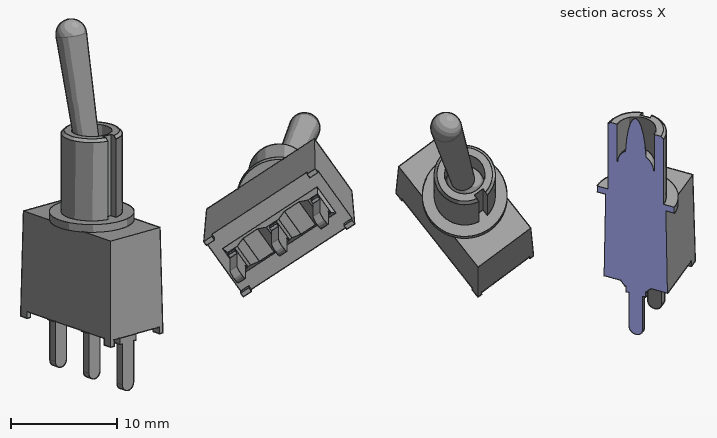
import cadquery as cq
import math

housing_length, housing_width = 12.7, 6.6
housing_height = 10.42
draft_inset_x, draft_inset_y = 0.2, 0.17
foot_height = 0.65
foot_gap_x, foot_gap_y = 10.85, 5.7

washer_diameter, washer_thickness = 8.0, 0.75
bushing_diameter, bushing_top = 5.75, 19.2
bushing_chamfer = 0.28
bore_diameter = 3.8
keyway_width, keyway_floor_radius = 1.0, 2.15

overall_height = 34.75
pin_bottom = -5.28
lever_top = overall_height + pin_bottom
pivot_height = 14.7
lever_root_radius, lever_tip_radius = 1.08, 1.45
tip_offset = 2.9
tip_rise = lever_top - lever_tip_radius - pivot_height
lever_length = math.hypot(tip_offset, tip_rise)
lever_tilt = math.degrees(math.atan2(tip_offset, tip_rise))

pin_pitch, pin_thickness, pin_width = 4.72, 0.8, 1.42
shoulder_width, shoulder_bottom = 2.05, -0.52
resin_length = 10.77
resin_base_width, resin_tip_width = 3.13, 2.22
resin_peak_width, resin_mound_width = 1.4, 3.05
resin_bottom = 0.1
resin_thinnest = 0.25
pin_positions = [-pin_pitch, 0.0, pin_pitch]


def make_housing():
    top_length = housing_length - 2 * draft_inset_x
    top_width = housing_width - 2 * draft_inset_y
    body = (
        cq.Workplane("XY")
        .rect(housing_length, housing_width)
        .workplane(offset=housing_height)
        .rect(top_length, top_width)
        .loft(ruled=True)
    )
    grounded = (True, True, False)
    gap_x = cq.Workplane("XY").box(foot_gap_x, housing_width, foot_height, centered=grounded)
    gap_y = cq.Workplane("XY").box(housing_length, foot_gap_y, foot_height, centered=grounded)
    return body.cut(gap_x).cut(gap_y)


def make_bushing():
    """Washer and sleeve with a bore down to the pivot and a keyway on the +X side."""
    washer = cq.Workplane("XY", origin=(0, 0, housing_height)).circle(washer_diameter / 2)
    washer = washer.extrude(washer_thickness)
    washer_top = housing_height + washer_thickness
    sleeve_height = bushing_top - washer_top
    sleeve = (
        cq.Workplane("XY", origin=(0, 0, washer_top))
        .circle(bushing_diameter / 2)
        .extrude(sleeve_height)
        .faces(">Z")
        .chamfer(bushing_chamfer)
    )
    keyway = cq.Workplane("XY", origin=(keyway_floor_radius, 0, washer_top)).box(
        bushing_diameter, keyway_width, sleeve_height, centered=(False, True, False)
    )
    bore = cq.Workplane("XY", origin=(0, 0, pivot_height)).circle(bore_diameter / 2)
    bore = bore.extrude(bushing_top - pivot_height)
    return washer.union(sleeve.cut(keyway).cut(bore))


def make_lever():
    """Revolved tapered handle with a domed tip, tilted about the pivot, plus its ball."""
    dome_side = lever_tip_radius * math.sqrt(0.5)
    handle = (
        cq.Workplane("XZ")
        .lineTo(lever_root_radius, 0)
        .lineTo(lever_tip_radius, lever_length)
        .threePointArc((dome_side, lever_length + dome_side), (0, lever_length + lever_tip_radius))
        .close()
        .revolve(360, (0, 0), (0, 1))
        .rotate((0, 0, 0), (0, 1, 0), -lever_tilt)
    )
    ball = cq.Workplane("XY").sphere(bore_diameter / 2)
    return handle.union(ball).translate((0, 0, pivot_height))


def make_pin(x):
    """Flat terminal with a full-round tip and a wider shoulder."""
    tip_radius = pin_width / 2
    return (
        cq.Workplane("YZ", origin=(x - pin_thickness / 2, 0, 0))
        .moveTo(-shoulder_width / 2, foot_height)
        .lineTo(-shoulder_width / 2, shoulder_bottom)
        .lineTo(-tip_radius, shoulder_bottom)
        .lineTo(-tip_radius, pin_bottom + tip_radius)
        .threePointArc((0, pin_bottom), (tip_radius, pin_bottom + tip_radius))
        .lineTo(tip_radius, shoulder_bottom)
        .lineTo(shoulder_width / 2, shoulder_bottom)
        .lineTo(shoulder_width / 2, foot_height)
        .close()
        .extrude(pin_thickness)
    )


def make_resin():
    """Resin strip with sloped sides, thickened into a flat-topped mound around each pin."""
    half_peak = resin_peak_width / 2
    half_mound = resin_mound_width / 2
    valley_height = foot_height - resin_thinnest
    underside = cq.Workplane("XZ", origin=(0, resin_base_width / 2, 0))
    underside = underside.moveTo(-resin_length / 2, foot_height)
    underside = underside.lineTo(-pin_pitch - pin_thickness / 2, resin_bottom)
    for x in pin_positions[:-1]:
        underside = (
            underside.lineTo(x + half_peak, resin_bottom)
            .lineTo(x + half_mound, valley_height)
            .lineTo(x + pin_pitch - half_mound, valley_height)
            .lineTo(x + pin_pitch - half_peak, resin_bottom)
        )
    strip = (
        underside.lineTo(pin_pitch + pin_thickness / 2, resin_bottom)
        .lineTo(resin_length / 2, foot_height)
        .close()
        .extrude(resin_base_width)
    )
    cross_section = (
        cq.Workplane("YZ", origin=(-resin_length / 2, 0, 0))
        .moveTo(-resin_base_width / 2, foot_height)
        .lineTo(-resin_tip_width / 2, resin_bottom)
        .lineTo(resin_tip_width / 2, resin_bottom)
        .lineTo(resin_base_width / 2, foot_height)
        .close()
        .extrude(resin_length)
    )
    return strip.intersect(cross_section)


result = make_housing().union(make_bushing()).union(make_lever()).union(make_resin())
for pin_x in pin_positions:
    result = result.union(make_pin(pin_x))